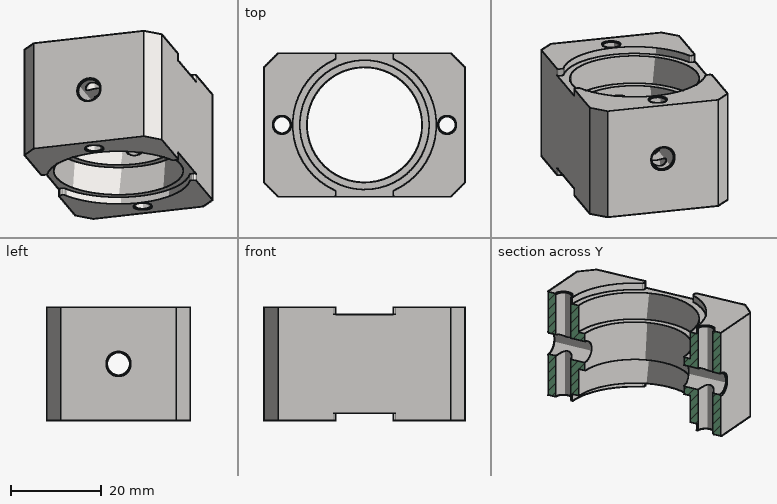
import cadquery as cq

length = 44.45
width = 31.75
height = 25.03
corner_chamfer = 3.15

bore_diameter = 25.4
seat_diameter = 28.6
seat_depth = 8.0
recess_diameter = width
recess_depth = (recess_diameter - seat_diameter) / 2

opening_width = 12.62
opening_corner_radius = 0.5

vertical_hole_diameter = 3.7
vertical_hole_spacing = 36.45
vertical_hole_chamfer = 0.22

cross_hole_diameter = 5.0
cross_hole_chamfer = 0.25


def make_block():
    block = cq.Workplane("XY").box(length, width, height)
    return block.edges("|Z").chamfer(corner_chamfer)


def cut_end_recess(body, face):
    """Cut the seat, the shallow recess and its side openings into one Z face."""
    body = body.faces(face).workplane(origin=(0, 0, 0)).circle(seat_diameter / 2).cutBlind(-seat_depth)
    body = body.faces(face).workplane(origin=(0, 0, 0)).rect(opening_width, width).cutBlind(-recess_depth)
    return body.faces(face).workplane(origin=(0, 0, 0)).circle(recess_diameter / 2).cutBlind(-recess_depth)


def round_opening_corners(body):
    """Round the upright edges at both ends of each opening wall."""
    corners = body.edges("|Z").filter(
        lambda edge: abs(abs(edge.Center().x) - opening_width / 2) < opening_corner_radius
    )
    return corners.fillet(opening_corner_radius)


def chamfered_hole(plane, diameter, span, chamfer):
    """Cutter for a hole centred on the plane, widened at both ends of its span."""
    radius = diameter / 2
    profile = [
        (0, -span / 2),
        (radius + chamfer, -span / 2),
        (radius, -span / 2 + chamfer),
        (radius, span / 2 - chamfer),
        (radius + chamfer, span / 2),
        (0, span / 2),
    ]
    return plane.polyline(profile).close().revolve(360, (0, 0), (0, 1))


body = make_block()
body = body.cut(cq.Workplane("XY").circle(bore_diameter / 2).extrude(height / 2, both=True))
for end_face in (">Z", "<Z"):
    body = cut_end_recess(body, end_face)
body = round_opening_corners(body)

for side in (-1, 1):
    hole_plane = cq.Workplane("XZ", origin=(side * vertical_hole_spacing / 2, 0, 0))
    body = body.cut(chamfered_hole(hole_plane, vertical_hole_diameter, height, vertical_hole_chamfer))

cross_plane = cq.Workplane(cq.Plane(origin=(0, 0, 0), xDir=(0, 1, 0), normal=(0, 0, -1)))
body = body.cut(chamfered_hole(cross_plane, cross_hole_diameter, length, cross_hole_chamfer))

result = body